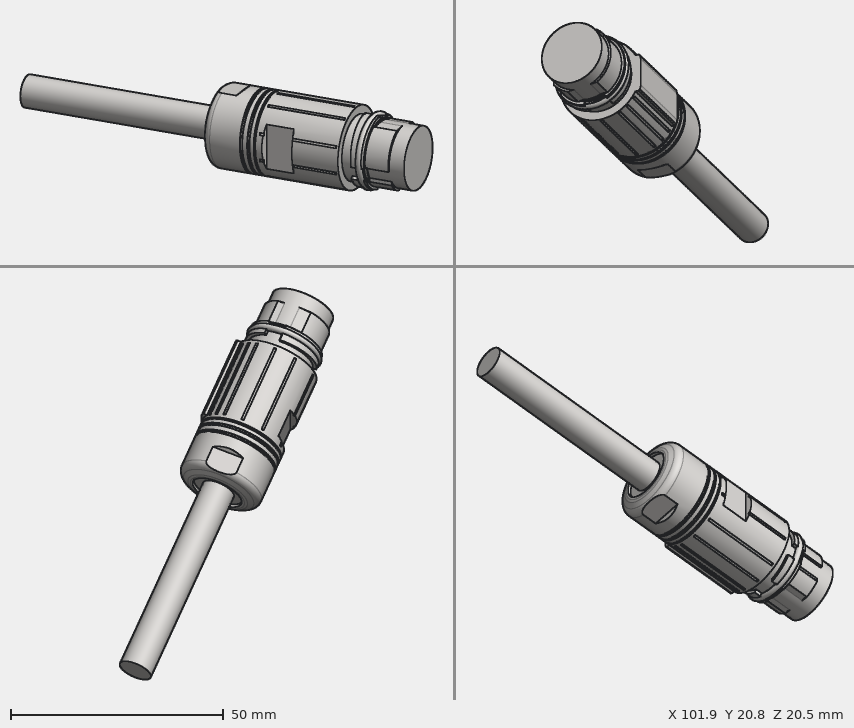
import cadquery as cq
import math

total_length = 101.9

cable_radius = 8.0 / 2

nut_start = 49.75
body_radius = 20.5 / 2
bore_radius = 6.25
bore_depth = 0.8
nose_face_radius = 6.9
nose_bevel_radius = 7.6
nose_bevel_length = 0.15
nose_cone_radius = 8.95
nose_cone_length = 0.8
nose_length = 2.6
nose_bulge_length = 1.35
nose_bulge_radius = 9.75

flat_height = 9.5
flat_end = 56.3

groove_radius = 19.9 / 2
ring_grooves = [(60.25, 0.6), (62.15, 0.6), (63.85, 0.4)]

sleeve_start = 64.25
sleeve_end = 85.85
grip_groove_width = 0.6
grip_groove_start = 65.2
grip_groove_end = 85.1
grip_groove_angles_above = [35, 49, 63, 90, 120, 161]
grip_groove_angles = grip_groove_angles_above + [-angle for angle in grip_groove_angles_above]

pad_start = 65.3
pad_height = 10.5
pad_flat_half_width = 3.4
pad_shoulder_height = 10.25
pad_shoulder_half_width = 4.45
pad_side_height = 9.9
pad_half_width = 4.75

pocket_start = 66.5
pocket_end = 73.6
pocket_floor = 8.6
pocket_rear_slope = 0.5
pocket_front_slope = 0.25

neck_radius = 16.2 / 2
neck_end = 92.3
collar_start = 88.0
collar_end = 92.0
collar_radius = 9.05
collar_ramp_angle = 2.6
ring_center = 90.57
ring_section_radius = 0.85
ring_outer_radius = 9.45
flange_radius = 8.6
flange_end = 91.6
plug_radius = 15.54 / 2
key_radius = 8.35
key_end = 98.05
collar_sectors = [(89, 189), (213, 261), (-62, 62)]
key_sectors = [
    ((94.4, 116), (189, 189)),
    ((213.6, 219.4), (261, 250)),
    ((-66.5, -55.5), (66.5, 55.5)),
]


def cylinder(start, end, radius):
    return cq.Workplane("YZ", origin=(start, 0, 0)).circle(radius).extrude(end - start)


def polar(radius, angle):
    return (radius * math.cos(math.radians(angle)), radius * math.sin(math.radians(angle)))


def sector(start, end, radius, first_side, last_side):
    """Solid sector about X; each side bends at the plug surface on its way to the outer radius."""
    first_root, first_crest = first_side
    last_root, last_crest = last_side
    return (
        cq.Workplane("YZ", origin=(start, 0, 0))
        .lineTo(*polar(plug_radius, first_root))
        .lineTo(*polar(radius, first_crest))
        .threePointArc(polar(radius, (first_crest + last_crest) / 2), polar(radius, last_crest))
        .lineTo(*polar(plug_radius, last_root))
        .close()
        .extrude(end - start)
    )


def make_body():
    """Nut and sleeve turned in one profile, with the cable running into a wider bore."""
    nose_end = nut_start + nose_length
    body = (
        cq.Workplane("XY")
        .moveTo(nut_start, 0)
        .lineTo(nut_start, nose_face_radius)
        .lineTo(nut_start + nose_bevel_length, nose_bevel_radius)
        .lineTo(nut_start + nose_cone_length, nose_cone_radius)
        .threePointArc((nut_start + nose_bulge_length, nose_bulge_radius), (nose_end, body_radius))
        .lineTo(sleeve_end, body_radius)
        .lineTo(sleeve_end, 0)
        .close()
        .revolve(360, (0, 0, 0), (1, 0, 0))
    )
    body = body.cut(cylinder(nut_start, nut_start + bore_depth, bore_radius))
    return body.union(cylinder(0, sleeve_start, cable_radius))


def cut_spanner_flats(body):
    """Flats on the nut ending in a 45 degree run-out."""
    run_out = body_radius - flat_height
    flat = (
        cq.Workplane("XZ", origin=(0, body_radius, 0))
        .moveTo(nut_start, flat_height)
        .lineTo(flat_end, flat_height)
        .lineTo(flat_end + run_out, body_radius)
        .lineTo(nut_start, body_radius)
        .close()
        .extrude(2 * body_radius)
    )
    return body.cut(flat).cut(flat.mirror("XY"))


def cut_ring_grooves(body):
    for start, width in ring_grooves:
        end = start + width
        band = cylinder(start, end, body_radius).cut(cylinder(start, end, groove_radius))
        body = body.cut(band)
    return body


def cut_grip_grooves(body):
    """Half-round grooves along the sleeve, centred on its surface."""
    for angle in grip_groove_angles:
        groove = (
            cq.Workplane("YZ", origin=(grip_groove_start, 0, 0))
            .center(*polar(body_radius, angle))
            .circle(grip_groove_width / 2)
            .extrude(grip_groove_end - grip_groove_start)
        )
        body = body.cut(groove)
    return body


def make_pad():
    return (
        cq.Workplane("YZ", origin=(pad_start, 0, 0))
        .moveTo(0, -pad_half_width)
        .lineTo(pad_side_height, -pad_half_width)
        .lineTo(pad_shoulder_height, -pad_shoulder_half_width)
        .lineTo(pad_height, -pad_flat_half_width)
        .lineTo(pad_height, pad_flat_half_width)
        .lineTo(pad_shoulder_height, pad_shoulder_half_width)
        .lineTo(pad_side_height, pad_half_width)
        .lineTo(0, pad_half_width)
        .close()
        .extrude(sleeve_end - pad_start)
    )


def cut_pocket(body):
    pocket = (
        cq.Workplane("XY", origin=(0, 0, -body_radius))
        .moveTo(pocket_start, -pocket_floor)
        .lineTo(pocket_end, -pocket_floor)
        .lineTo(pocket_end + pocket_front_slope, -body_radius)
        .lineTo(pocket_start - pocket_rear_slope, -body_radius)
        .close()
        .extrude(2 * body_radius)
    )
    return body.cut(pocket)


def make_collar_segment(first_angle, last_angle):
    """Collar sector whose rear face is sloped like a bayonet ramp."""
    first_side = (first_angle, first_angle)
    last_side = (last_angle, last_angle)
    segment = sector(collar_start, collar_end, collar_radius, first_side, last_side)
    middle_angle = (first_angle + last_angle) / 2
    half_span = collar_radius * math.sin(math.radians((last_angle - first_angle) / 2))
    ramp_middle = collar_start + half_span * math.tan(math.radians(collar_ramp_angle))
    block_size = 4 * collar_radius
    ramp = (
        cq.Workplane("XY")
        .box(block_size, block_size, block_size)
        .translate((-block_size / 2, 0, 0))
        .rotate((0, 0, 0), (0, 1, 0), collar_ramp_angle)
        .translate((ramp_middle, 0, 0))
        .rotate((0, 0, 0), (1, 0, 0), middle_angle)
    )
    return segment.cut(ramp)


def make_sealing_ring():
    ring_radius = ring_outer_radius - ring_section_radius
    return (
        cq.Workplane("XY")
        .moveTo(ring_center, ring_radius)
        .circle(ring_section_radius)
        .revolve(360, (0, 0, 0), (1, 0, 0))
    )


def make_plug():
    plug = cylinder(sleeve_end, neck_end, neck_radius)
    plug = plug.union(cylinder(sleeve_end, total_length, plug_radius))
    plug = plug.union(make_sealing_ring())
    plug = plug.union(cylinder(ring_center, flange_end, flange_radius))
    for first_angle, last_angle in collar_sectors:
        plug = plug.union(make_collar_segment(first_angle, last_angle))
    for first_side, last_side in key_sectors:
        plug = plug.union(sector(collar_end, key_end, key_radius, first_side, last_side))
    return plug


body = make_body()
body = cut_spanner_flats(body)
body = cut_ring_grooves(body)
body = cut_grip_grooves(body)
body = cut_pocket(body.union(make_pad()))
result = body.union(make_plug())